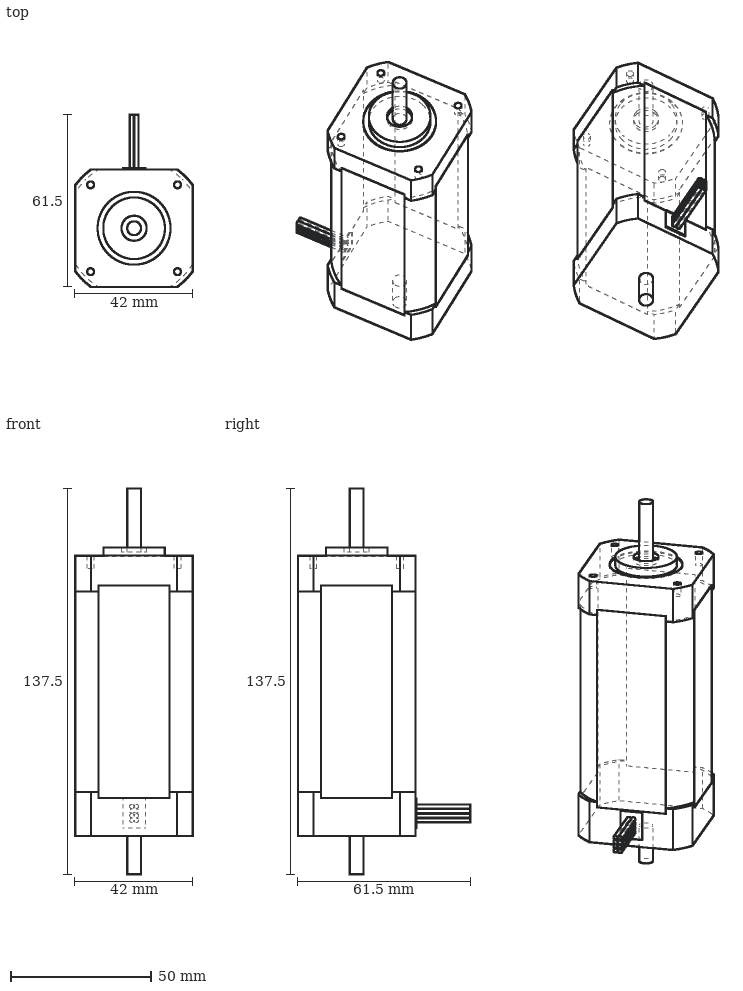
import cadquery as cq
import math

body_side = 42.0
body_height = 100.0
cap_corner_radius = 26.0
middle_corner_radius = 24.5
bottom_cap_height = 15.7
top_cap_height = 12.8

panel_depth = 0.07
panel_overlap = 2.0

boss_diameter = 22.0
boss_height = 2.9
groove_diameter = 26.0
groove_depth = 0.4
shaft_clearance_diameter = 9.0
shaft_clearance_depth = 1.6

mount_hole_diameter = 2.5
mount_hole_spacing = 31.0
mount_hole_depth = 4.5

shaft_diameter = 5.0
shaft_below = 13.6
shaft_total = 137.5

outlet_width = 8.0
outlet_height = 10.5
outlet_relief = 0.4
outlet_centre_z = 8.1
wire_diameter = 1.5
wire_pitch = 1.6
wire_columns = 2
wire_rows = 4
wire_reach = 19.5

half_side = body_side / 2
middle_height = body_height - bottom_cap_height - top_cap_height


def rounded_square_block(corner_radius, bottom, height):
    """Square block whose corners are turned to a radius about the shaft axis."""
    block = cq.Workplane("XY", origin=(0, 0, bottom)).rect(body_side, body_side).extrude(height)
    cylinder = cq.Workplane("XY", origin=(0, 0, bottom)).circle(corner_radius).extrude(height)
    return block.intersect(cylinder)


def disc(diameter, bottom, height):
    return cq.Workplane("XY", origin=(0, 0, bottom)).circle(diameter / 2).extrude(height)


def side_panels():
    """Four thin slabs, one per side, to be cut away so that they leave the sunk panels."""
    width = 2 * math.sqrt(middle_corner_radius**2 - half_side**2)
    height = middle_height + 2 * panel_overlap
    bottom = bottom_cap_height - panel_overlap
    centre_distance = half_side - panel_depth / 2
    slab = cq.Workplane("XY", origin=(centre_distance, 0, bottom)).rect(panel_depth, width).extrude(height)
    slabs = cq.Workplane("XY")
    for quarter_turn in range(4):
        slabs = slabs.add(slab.rotate((0, 0, 0), (0, 0, 1), 90 * quarter_turn))
    return slabs.combine()


def lead_outlet():
    length = half_side + outlet_relief
    return (
        cq.Workplane("XZ", origin=(0, length, outlet_centre_z))
        .rect(outlet_width, outlet_height)
        .extrude(half_side / 2)
    )


def make_motor():
    top_cap_bottom = bottom_cap_height + middle_height
    motor = rounded_square_block(cap_corner_radius, 0, bottom_cap_height)
    motor = motor.union(
        rounded_square_block(middle_corner_radius, bottom_cap_height, middle_height)
    )
    motor = motor.union(
        rounded_square_block(cap_corner_radius, top_cap_bottom, top_cap_height)
    )
    motor = motor.cut(side_panels()).union(lead_outlet())

    groove_floor = body_height - groove_depth
    boss_top = body_height + boss_height
    motor = motor.cut(disc(groove_diameter, groove_floor, groove_depth))
    motor = motor.union(disc(boss_diameter, groove_floor, boss_top - groove_floor))
    motor = motor.cut(
        disc(shaft_clearance_diameter, boss_top - shaft_clearance_depth, shaft_clearance_depth)
    )

    mount_holes = (
        cq.Workplane("XY", origin=(0, 0, body_height - mount_hole_depth))
        .rect(mount_hole_spacing, mount_hole_spacing, forConstruction=True)
        .vertices()
        .circle(mount_hole_diameter / 2)
        .extrude(mount_hole_depth)
    )
    motor = motor.cut(mount_holes)

    return motor.union(disc(shaft_diameter, -shaft_below, shaft_total))


def make_wire(x, z):
    """Straight wire running in +Y from the face of the lead outlet."""
    start = half_side + outlet_relief
    return (
        cq.Workplane("XZ", origin=(x, start, z))
        .circle(wire_diameter / 2)
        .extrude(-(wire_reach - outlet_relief))
    )


motor = make_motor()

wires = []
for column in range(wire_columns):
    for row in range(wire_rows):
        wire_x = (column - (wire_columns - 1) / 2) * wire_pitch
        wire_z = outlet_centre_z + (row - (wire_rows - 1) / 2) * wire_pitch
        wires.append(make_wire(wire_x, wire_z).val())

result = cq.Compound.makeCompound([motor.val(), *wires])